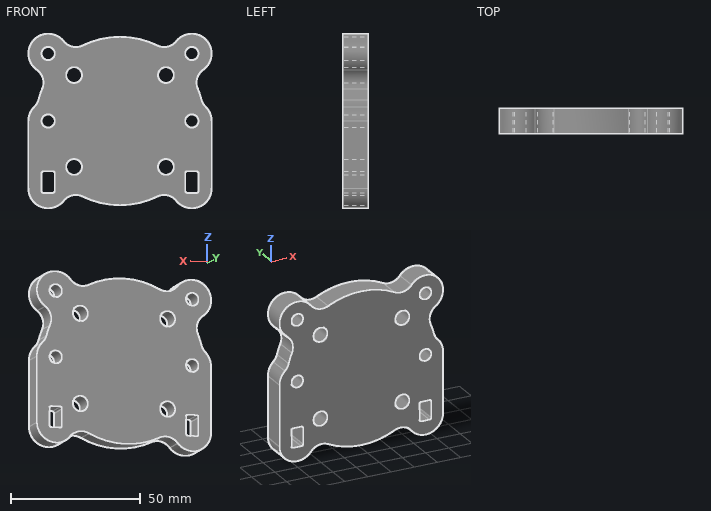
import cadquery as cq
import math

width = 70.62
height = 67.25
thickness = 10.0
disc_radius = 32.45
lobe_radius = 7.66
blend_radius = 6.0

lobe_x = width / 2 - lobe_radius
lobe_z = height / 2 - lobe_radius
disc_center = (0, 0)
top_lobe = (lobe_x, lobe_z)
middle_lobe = (lobe_x, 0)
bottom_lobe = (lobe_x, -lobe_z)

lobe_hole_diameter = 5.0
bolt_hole_diameter = 6.0
bolt_circle_diameter = 50.0
bolt_offset = bolt_circle_diameter / 2 * math.sin(math.radians(45))
slot_width = 5.0
slot_height = 8.25
slot_corner_radius = 0.75
slot_z = -23.5


def point_towards(start, target, distance):
    """Point at a given distance from start on the line to target."""
    ratio = distance / math.dist(start, target)
    return (
        start[0] + ratio * (target[0] - start[0]),
        start[1] + ratio * (target[1] - start[1]),
    )


def blend_center(lobe, side):
    """Centre of the arc touching the disc and a lobe from outside.

    Side is +1 for the blend counterclockwise of the lobe and -1 for clockwise.
    """
    to_disc = disc_radius + blend_radius
    to_lobe = lobe_radius + blend_radius
    spacing = math.hypot(*lobe)
    cosine = (spacing**2 + to_disc**2 - to_lobe**2) / (2 * spacing * to_disc)
    angle = math.atan2(lobe[1], lobe[0]) + side * math.acos(cosine)
    return (to_disc * math.cos(angle), to_disc * math.sin(angle))


def arc_middle(center, radius, start, end):
    """Middle point of the shorter arc from start to end."""
    chord_middle = ((start[0] + end[0]) / 2, (start[1] + end[1]) / 2)
    return point_towards(center, chord_middle, radius)


def add_blend(outline, center, start, end):
    """Continue the outline with a concave blend arc."""
    return outline.threePointArc(arc_middle(center, blend_radius, start, end), end)


def make_half_plate():
    """The +X half of the plate, outlined clockwise from the top of the disc."""
    above_top = blend_center(top_lobe, 1)
    below_top = blend_center(top_lobe, -1)
    above_middle = blend_center(middle_lobe, 1)
    below_bottom = blend_center(bottom_lobe, -1)

    def on_disc(blend):
        return point_towards(disc_center, blend, disc_radius)

    def on_lobe(lobe, blend):
        return point_towards(lobe, blend, lobe_radius)

    disc_top = (0, disc_radius)
    disc_bottom = (0, -disc_radius)
    side_top = (width / 2, 0)
    side_bottom = (width / 2, -lobe_z)
    lobe_tip = point_towards(top_lobe, disc_center, -lobe_radius)
    middle_start = on_lobe(middle_lobe, above_middle)
    bottom_end = on_lobe(bottom_lobe, below_bottom)
    bottom_tip = (lobe_x, -height / 2)

    outline = cq.Workplane("XZ").moveTo(*disc_top)
    outline = outline.threePointArc(
        arc_middle(disc_center, disc_radius, disc_top, on_disc(above_top)), on_disc(above_top)
    )
    outline = add_blend(outline, above_top, on_disc(above_top), on_lobe(top_lobe, above_top))
    outline = outline.threePointArc(lobe_tip, on_lobe(top_lobe, below_top))
    outline = add_blend(outline, below_top, on_lobe(top_lobe, below_top), on_disc(below_top))
    outline = outline.threePointArc(
        arc_middle(disc_center, disc_radius, on_disc(below_top), on_disc(above_middle)),
        on_disc(above_middle),
    )
    outline = add_blend(outline, above_middle, on_disc(above_middle), middle_start)
    outline = outline.threePointArc(
        arc_middle(middle_lobe, lobe_radius, middle_start, side_top), side_top
    )
    outline = outline.lineTo(*side_bottom)
    outline = outline.threePointArc(bottom_tip, bottom_end)
    outline = add_blend(outline, below_bottom, bottom_end, on_disc(below_bottom))
    outline = outline.threePointArc(
        arc_middle(disc_center, disc_radius, on_disc(below_bottom), disc_bottom), disc_bottom
    )
    return outline.close().extrude(-thickness)


def make_plate():
    half = make_half_plate()
    return half.union(half.mirror("YZ")).clean()


def make_holes(diameter, centers):
    return cq.Workplane("XZ").pushPoints(centers).circle(diameter / 2).extrude(-thickness)


def make_slots():
    centers = [(side * lobe_x, slot_z) for side in (-1, 1)]
    slots = cq.Workplane("XZ").pushPoints(centers).rect(slot_width, slot_height)
    return slots.extrude(-thickness).edges("|Y").fillet(slot_corner_radius)


lobe_hole_centers = [(side * lobe_x, z) for side in (-1, 1) for z in (0, lobe_z)]
bolt_centers = [(x, z) for x in (-bolt_offset, bolt_offset) for z in (-bolt_offset, bolt_offset)]

result = (
    make_plate()
    .cut(make_holes(lobe_hole_diameter, lobe_hole_centers))
    .cut(make_holes(bolt_hole_diameter, bolt_centers))
    .cut(make_slots())
)